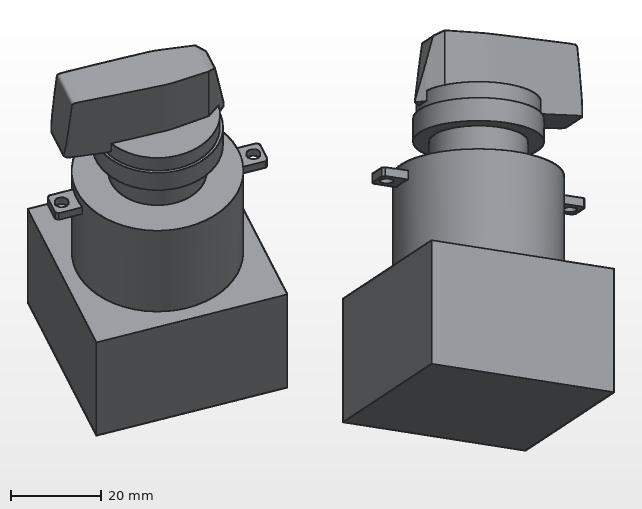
import cadquery as cq

base_side = 45.0
base_top = 28.9
barrel_top = 54.0
collar_bottom = 62.1
collar_top = 67.5
disc_top = 71.45
handle_top = 86.5

barrel_radius = 19.0
neck_radius = 11.0
collar_radius = 14.5
disc_radius = 13.8

tab_width = 6.05
tab_reach = 25.0
tab_bottom = 49.6
tab_thickness = 2.1
tab_corner = 0.6
tab_hole_radius = 1.6
tab_hole_offset = 22.6

pointer_tip_y = 15.7
pointer_base_y = 10.5
pointer_half_width = 4.4
pointer_cheek_y = 13.8
pointer_cheek_half_width = 1.8
pointer_tip_radius = 0.3
pointer_edge_radius = 0.7
pointer_bottom = 69.0
pointer_nose_y = 12.5
pointer_nose_z = 84.2
pointer_shoulder_z = 85.3
belly_front_y = 2.8
belly_middle_y = 0.7
belly_rear_y = -1.5
belly_front_half_width = 5.4
belly_middle_half_width = 5.5
belly_rear_half_width = 5.5
profile_margin = 0.9
rear_bend_y = -12.6
rear_bend_half_width = 5.3
rear_half_width = 4.9
grip_corner_radius = 1.1
grip_top_front_y = -19.7
grip_top_y = -21.9
grip_bottom_y = -23.6
grip_bottom = 70.15
grip_edge_radius = 0.8


def cylinder(radius, bottom, top):
    """Upright cylinder on the Z axis between two levels."""
    return cq.Workplane("XY").workplane(offset=bottom).circle(radius).extrude(top - bottom)


def make_base():
    """Square block standing on Z = 0."""
    return cq.Workplane("XY").rect(base_side, base_side).extrude(base_top)


def make_barrel():
    """Cylinder with two opposite drilled tabs."""
    tabs = (
        cq.Workplane("XY")
        .workplane(offset=tab_bottom)
        .rect(tab_width, 2 * tab_reach)
        .extrude(tab_thickness)
        .edges("|Z")
        .chamfer(tab_corner)
    )
    holes = (
        cq.Workplane("XY")
        .workplane(offset=tab_bottom)
        .pushPoints([(0, tab_hole_offset), (0, -tab_hole_offset)])
        .circle(tab_hole_radius)
        .extrude(tab_thickness)
    )
    return cylinder(barrel_radius, base_top, barrel_top).union(tabs).cut(holes)


def make_neck():
    """Narrow cylinder between the barrel and the collar."""
    return cylinder(neck_radius, barrel_top, collar_bottom)


def make_collar():
    """Round plate under the knob."""
    return cylinder(collar_radius, collar_bottom, collar_top)


def handle_plan():
    """Handle outline seen along Z, as a prism taller than the handle."""
    return (
        cq.Workplane("XY")
        .workplane(offset=collar_top)
        .moveTo(0, pointer_tip_y)
        .lineTo(pointer_cheek_half_width, pointer_cheek_y)
        .lineTo(pointer_half_width, pointer_base_y)
        .lineTo(belly_front_half_width, belly_front_y)
        .threePointArc((belly_middle_half_width, belly_middle_y), (belly_rear_half_width, belly_rear_y))
        .lineTo(rear_bend_half_width, rear_bend_y)
        .lineTo(rear_half_width, grip_bottom_y)
        .lineTo(-rear_half_width, grip_bottom_y)
        .lineTo(-rear_bend_half_width, rear_bend_y)
        .lineTo(-belly_rear_half_width, belly_rear_y)
        .threePointArc((-belly_middle_half_width, belly_middle_y), (-belly_front_half_width, belly_front_y))
        .lineTo(-pointer_half_width, pointer_base_y)
        .lineTo(-pointer_cheek_half_width, pointer_cheek_y)
        .close()
        .extrude(handle_top - collar_top)
        .edges("|Z and <Y")
        .fillet(grip_corner_radius)
        .edges("|Z and >Y")
        .fillet(pointer_tip_radius)
    )


def handle_profile():
    """Handle outline seen along X, extruded slightly wider than the handle."""
    return (
        cq.Workplane("YZ")
        .moveTo(pointer_tip_y, pointer_bottom)
        .lineTo(pointer_nose_y, pointer_nose_z)
        .lineTo(pointer_base_y, pointer_shoulder_z)
        .lineTo(grip_top_front_y, handle_top)
        .lineTo(grip_top_y, handle_top)
        .lineTo(grip_bottom_y, grip_bottom)
        .lineTo(-disc_radius, pointer_bottom)
        .close()
        .extrude(belly_middle_half_width + profile_margin, both=True)
        .edges(cq.selectors.NearestToPointSelector((0, grip_top_y, handle_top)))
        .fillet(grip_edge_radius)
        .edges(cq.selectors.NearestToPointSelector((0, pointer_nose_y, pointer_nose_z)))
        .fillet(pointer_edge_radius)
        .edges(cq.selectors.NearestToPointSelector((0, pointer_base_y, pointer_shoulder_z)))
        .fillet(pointer_edge_radius)
    )


def make_knob():
    """Disc with the pointer handle across it."""
    handle = handle_plan().intersect(handle_profile())
    return cylinder(disc_radius, collar_top, disc_top).union(handle)


base = make_base()
barrel = make_barrel()
neck = make_neck()
collar = make_collar()
knob = make_knob()

result = cq.Compound.makeCompound([base.val(), barrel.val(), neck.val(), collar.val(), knob.val()])